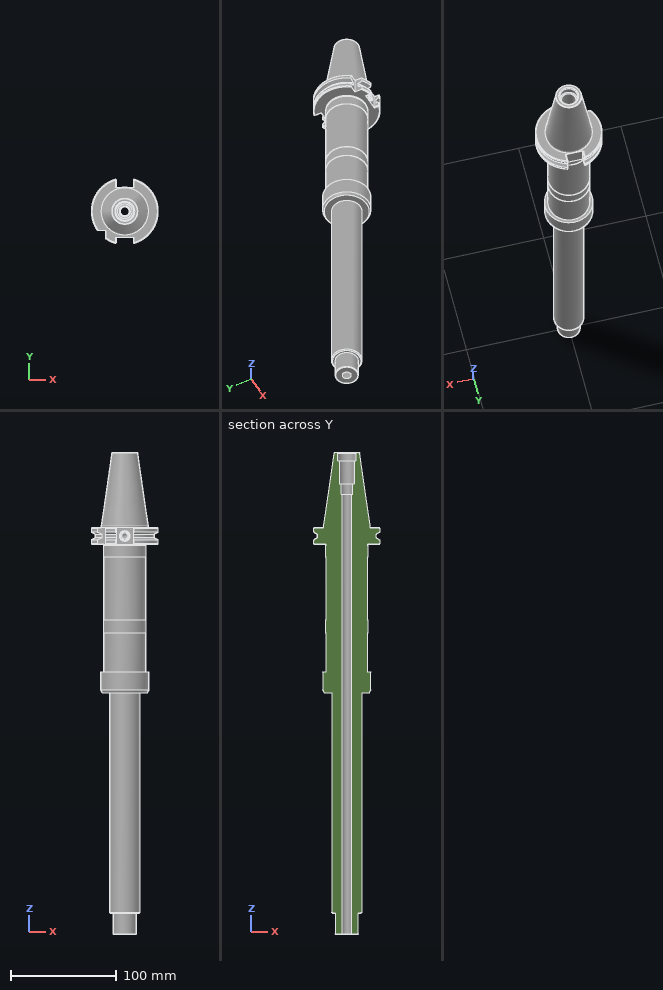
import cadquery as cq
import math

TOTAL_LENGTH = 457.75
GAUGE_DIA = 44.45
TAPER_LENGTH = 68.4
TAPER_RATIO = 7 / 24
TAPER_END_Z = -1.2
TAPER_TOP_EDGE_DIA = 23.8
TAPER_TOP_EDGE_HEIGHT = 0.7

FLANGE_DIA = 63.55
FLANGE_TOP_Z = -3.2
FLANGE_BOTTOM_Z = -19.1
FLANGE_HEIGHT = FLANGE_TOP_Z - FLANGE_BOTTOM_Z
FLANGE_CHAMFER = 0.8
GROOVE_Z = -11.1
GROOVE_ROOT_DIA = 56.25
GROOVE_RIM_WIDTH = 7.4
GROOVE_FLANK_ANGLE = 30

SLOT_WIDTH = 16.1
SLOT_FLOOR_BACK = 22.8
SLOT_FLOOR_FRONT = 25.0
SLOT_EDGE_CHAMFER = 0.85
NOTCH_CORNER = 18.2
CUT_CLEARANCE = 1.0

SLOT_HOLE_MOUTH_DIA = 10.0
SLOT_HOLE_DIA = 8.38
SLOT_HOLE_DEPTH = 2.0
SLOT_PILOT_DIA = 6.0
SLOT_PILOT_DEPTH = 6.0
DRILL_POINT_ANGLE = 118

BOTTOM_Z = TAPER_LENGTH - TOTAL_LENGTH
NECK_DIA = 40.5
BODY_DIA = 40.0
RELIEF_BOTTOM_Z = -20.3
NECK_BOTTOM_Z = -31.1
BAND_TOP_Z = -91.0
BAND_BOTTOM_Z = -103.3
COLLAR_DIA = 46.0
COLLAR_TOP_Z = -140.0
COLLAR_BOTTOM_Z = -160.2
COLLAR_CHAMFER_HEIGHT = 2.8
COLLAR_CHAMFER_ANGLE = 30
TUBE_DIA = 29.0
TUBE_CHAMFER = 1.0
TIP_DIA = 22.0
TIP_LENGTH = 20.0
TIP_CHAMFER = 0.5
TUBE_END_Z = BOTTOM_Z + TIP_LENGTH

MOUTH_DIA = 19.0
LEAD_DIA = 17.0
LEAD_DEPTH = 8.2
THREAD_DIA = 13.84
THREAD_DEPTH = 30.0
RELAY_DIA = 10.5
RELAY_DEPTH = 40.0
COOLANT_DIA = 8.35


def revolve_about_z(half_profile):
    return cq.Workplane("YZ").polyline(half_profile).close().revolve(360, (0, 0, 0), (0, 1, 0))


def taper_radius(z):
    return (GAUGE_DIA - TAPER_RATIO * z) / 2


def make_outside():
    taper_edge_z = TAPER_LENGTH - TAPER_TOP_EDGE_HEIGHT
    taper_end_r = taper_radius(TAPER_END_Z)
    rim_r = FLANGE_DIA / 2
    root_r = GROOVE_ROOT_DIA / 2
    rim_half = GROOVE_RIM_WIDTH / 2
    root_half = rim_half - (rim_r - root_r) * math.tan(math.radians(GROOVE_FLANK_ANGLE))
    neck_r = NECK_DIA / 2
    body_r = BODY_DIA / 2
    collar_r = COLLAR_DIA / 2
    collar_inset = COLLAR_CHAMFER_HEIGHT * math.tan(math.radians(COLLAR_CHAMFER_ANGLE))
    tube_r = TUBE_DIA / 2
    tip_r = TIP_DIA / 2
    shank = [
        (0, TAPER_LENGTH),
        (TAPER_TOP_EDGE_DIA / 2, TAPER_LENGTH),
        (taper_radius(taper_edge_z), taper_edge_z),
        (taper_end_r, TAPER_END_Z),
        (taper_end_r, FLANGE_TOP_Z),
    ]
    flange = [
        (rim_r - FLANGE_CHAMFER, FLANGE_TOP_Z),
        (rim_r, FLANGE_TOP_Z - FLANGE_CHAMFER),
        (rim_r, GROOVE_Z + rim_half),
        (root_r, GROOVE_Z + root_half),
        (root_r, GROOVE_Z - root_half),
        (rim_r, GROOVE_Z - rim_half),
        (rim_r, FLANGE_BOTTOM_Z + FLANGE_CHAMFER),
        (rim_r - FLANGE_CHAMFER, FLANGE_BOTTOM_Z),
    ]
    body = [
        (body_r, FLANGE_BOTTOM_Z),
        (body_r, RELIEF_BOTTOM_Z),
        (neck_r, RELIEF_BOTTOM_Z),
        (neck_r, NECK_BOTTOM_Z),
        (body_r, NECK_BOTTOM_Z),
        (body_r, BAND_TOP_Z),
        (neck_r, BAND_TOP_Z),
        (neck_r, BAND_BOTTOM_Z),
        (body_r, BAND_BOTTOM_Z),
        (body_r, COLLAR_TOP_Z),
        (collar_r, COLLAR_TOP_Z),
        (collar_r, COLLAR_BOTTOM_Z + COLLAR_CHAMFER_HEIGHT),
        (collar_r - collar_inset, COLLAR_BOTTOM_Z),
    ]
    tube = [
        (tube_r, COLLAR_BOTTOM_Z),
        (tube_r, TUBE_END_Z + TUBE_CHAMFER),
        (tube_r - TUBE_CHAMFER, TUBE_END_Z),
        (tip_r, TUBE_END_Z),
        (tip_r, BOTTOM_Z + TIP_CHAMFER),
        (tip_r - TIP_CHAMFER, BOTTOM_Z),
        (0, BOTTOM_Z),
    ]
    return revolve_about_z(shank + flange + body + tube)


def make_bore():
    mouth_bottom = TAPER_LENGTH - (MOUTH_DIA - LEAD_DIA) / 2
    lead_bottom = TAPER_LENGTH - LEAD_DEPTH
    thread_bottom = TAPER_LENGTH - THREAD_DEPTH
    relay_bottom = TAPER_LENGTH - RELAY_DEPTH
    return revolve_about_z([
        (0, TAPER_LENGTH),
        (MOUTH_DIA / 2, TAPER_LENGTH),
        (LEAD_DIA / 2, mouth_bottom),
        (LEAD_DIA / 2, lead_bottom),
        (THREAD_DIA / 2, lead_bottom),
        (THREAD_DIA / 2, thread_bottom),
        (RELAY_DIA / 2, thread_bottom),
        (RELAY_DIA / 2, relay_bottom),
        (COOLANT_DIA / 2, relay_bottom),
        (COOLANT_DIA / 2, BOTTOM_Z),
        (0, BOTTOM_Z),
    ])


def make_slot(floor_y):
    """Driver slot cutter on the +Y side, flaring where its walls meet the flange rim and faces."""
    half = SLOT_WIDTH / 2
    flared = half + SLOT_EDGE_CHAMFER
    rim_y = math.sqrt((FLANGE_DIA / 2) ** 2 - flared ** 2)
    outer_y = FLANGE_DIA / 2 + CUT_CLEARANCE
    rim_flare = (
        cq.Workplane("XY", origin=(0, 0, FLANGE_BOTTOM_Z))
        .moveTo(-half, floor_y)
        .lineTo(half, floor_y)
        .lineTo(half, rim_y - SLOT_EDGE_CHAMFER)
        .lineTo(flared, rim_y)
        .lineTo(flared, outer_y)
        .lineTo(-flared, outer_y)
        .lineTo(-flared, rim_y)
        .lineTo(-half, rim_y - SLOT_EDGE_CHAMFER)
        .close()
        .extrude(FLANGE_HEIGHT)
    )
    lower_z = FLANGE_BOTTOM_Z + SLOT_EDGE_CHAMFER
    upper_z = FLANGE_TOP_Z - SLOT_EDGE_CHAMFER
    face_flare = (
        cq.Workplane("XZ", origin=(0, floor_y, 0))
        .moveTo(-flared, FLANGE_BOTTOM_Z)
        .lineTo(flared, FLANGE_BOTTOM_Z)
        .lineTo(half, lower_z)
        .lineTo(half, upper_z)
        .lineTo(flared, FLANGE_TOP_Z)
        .lineTo(-flared, FLANGE_TOP_Z)
        .lineTo(-half, upper_z)
        .lineTo(-half, lower_z)
        .close()
        .extrude(floor_y - outer_y)
    )
    return rim_flare.union(face_flare)


def make_notch():
    """Square-cornered orientation notch cutter on the -X, -Y side of the flange."""
    outer = FLANGE_DIA / 2 + CUT_CLEARANCE
    size = outer - NOTCH_CORNER
    block = cq.Workplane("XY").box(size, size, FLANGE_HEIGHT, centered=False)
    return block.translate((-outer, -outer, FLANGE_BOTTOM_Z))


def make_slot_hole():
    """Stepped blind hole cutter running toward +Y from the floor of the front slot."""
    floor_y = -SLOT_FLOOR_FRONT
    mouth_y = floor_y + (SLOT_HOLE_MOUTH_DIA - SLOT_HOLE_DIA) / 2
    step_y = floor_y + SLOT_HOLE_DEPTH
    pilot_y = floor_y + SLOT_PILOT_DEPTH
    point_y = pilot_y + SLOT_PILOT_DIA / 2 / math.tan(math.radians(DRILL_POINT_ANGLE / 2))
    half_profile = [
        (0, floor_y),
        (SLOT_HOLE_MOUTH_DIA / 2, floor_y),
        (SLOT_HOLE_DIA / 2, mouth_y),
        (SLOT_HOLE_DIA / 2, step_y),
        (SLOT_PILOT_DIA / 2, step_y),
        (SLOT_PILOT_DIA / 2, pilot_y),
        (0, point_y),
    ]
    plane = cq.Workplane("XY", origin=(0, 0, GROOVE_Z))
    return plane.polyline(half_profile).close().revolve(360, (0, 0, 0), (0, 1, 0))


result = make_outside().cut(make_bore())
result = result.cut(make_slot(SLOT_FLOOR_BACK))
result = result.cut(make_slot(SLOT_FLOOR_FRONT).mirror("XZ"))
result = result.cut(make_notch())
result = result.cut(make_slot_hole())